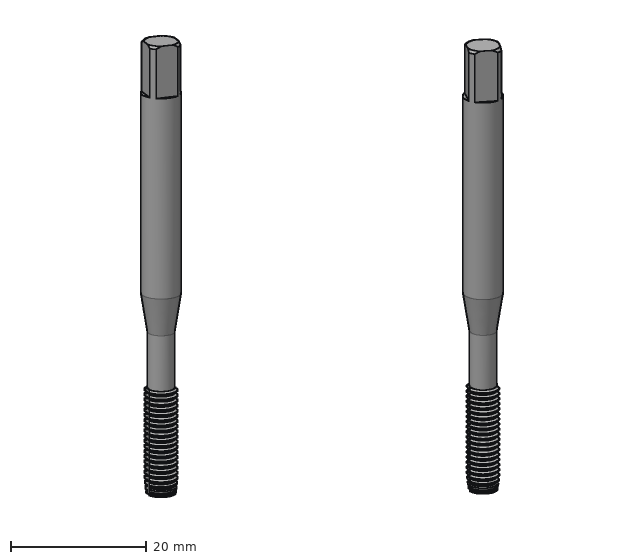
import cadquery as cq
import math

overall_length = 70.0
shank_radius = 6.0 / 2
cone_bottom = 25.0
cone_top = 31.0

square_length = 8.0
square_flats = 4.9
end_chamfer = 0.4

pitch = 0.8
major_radius = 5.0 / 2
thread_depth = 0.46
minor_radius = major_radius - thread_depth
neck_radius = minor_radius
crest_flat = 0.12
root_flat = 0.15
flank_height = (pitch - crest_flat - root_flat) / 2
ring_count = 21
top_crest = (ring_count - 1) * pitch
thread_top = top_crest + crest_flat / 2 + flank_height

lead_length = 2.2
lead_radius = 2.2

groove_bottom = 1.97
groove_edge = 2.3
groove_half_width = math.sqrt(major_radius**2 - groove_edge**2)
groove_rise = groove_edge - groove_bottom
groove_radius = (groove_half_width**2 + groove_rise**2) / (2 * groove_rise)
groove_axis = groove_bottom + groove_radius
groove_top = 16.1


def cylinder(radius, bottom, top):
    """Upright cylinder on the tool axis."""
    return cq.Workplane("XY").workplane(offset=bottom).circle(radius).extrude(top - bottom)


def grooves():
    """Two round-bottomed grooves on the -Y and +Y sides, each with a ball-shaped upper end."""
    rod = cylinder(groove_radius, 0, groove_top)
    rod = rod.union(cq.Workplane("XY").sphere(groove_radius).translate((0, 0, groove_top)))
    return [rod.translate((0, side * groove_axis, 0)) for side in (-1, 1)]


def make_shank():
    """Neck, cone and shank turned in one piece, with a square on the upper end.

    The groove ends run out into the foot of the neck.
    """
    square_bottom = overall_length - square_length
    body = (
        cq.Workplane("XZ")
        .moveTo(0, thread_top)
        .lineTo(neck_radius, thread_top)
        .lineTo(neck_radius, cone_bottom)
        .lineTo(shank_radius, cone_top)
        .lineTo(shank_radius, overall_length - end_chamfer)
        .lineTo(shank_radius - end_chamfer, overall_length)
        .lineTo(0, overall_length)
        .close()
        .revolve(360, (0, 0, 0), (0, 1, 0))
    )
    waste = (
        cylinder(2 * shank_radius, square_bottom, overall_length)
        .cut(cq.Workplane("XY").workplane(offset=square_bottom)
             .rect(square_flats, square_flats).extrude(square_length))
    )
    body = body.cut(waste)
    for groove in grooves():
        body = body.cut(groove)
    return body


def make_thread():
    """Ringed thread with a tapered lead and an oil groove on each Y side."""
    profile = cq.Workplane("XZ").moveTo(0, thread_top)
    for ring in range(ring_count):
        crest = top_crest - ring * pitch
        upper_edge = crest + crest_flat / 2
        lower_edge = crest - crest_flat / 2
        profile = (
            profile.lineTo(minor_radius, upper_edge + flank_height)
            .lineTo(major_radius, upper_edge)
            .lineTo(major_radius, lower_edge)
            .lineTo(minor_radius, lower_edge - flank_height)
        )
    thread_foot = -crest_flat / 2 - flank_height
    body = profile.lineTo(0, thread_foot).close().revolve(360, (0, 0, 0), (0, 1, 0))
    envelope = (
        cq.Workplane("XZ")
        .moveTo(0, 0)
        .lineTo(lead_radius, 0)
        .lineTo(major_radius, lead_length)
        .lineTo(major_radius, thread_top)
        .lineTo(0, thread_top)
        .close()
        .revolve(360, (0, 0, 0), (0, 1, 0))
    )
    body = body.intersect(envelope)
    for groove in grooves():
        body = body.cut(groove)
    return body


shank = make_shank()
thread = make_thread()
result = cq.Compound.makeCompound([shank.val(), thread.val()])